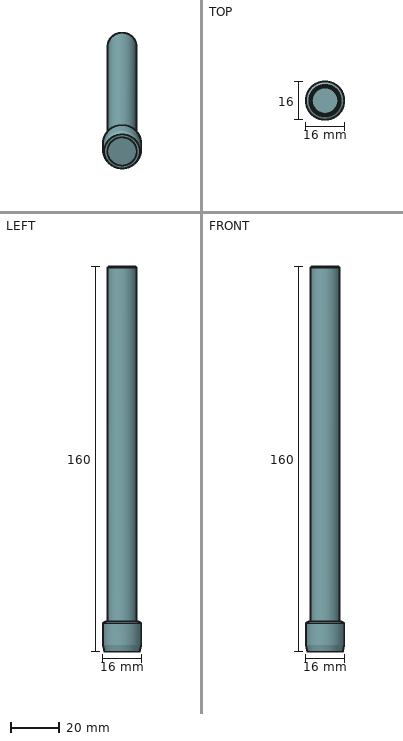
import cadquery as cq
import math

rod_length = 160.0
rod_diameter = 12.2
rod_chamfer = 0.6

collar_diameter = 16.0
collar_height = 12.8
collar_top_chamfer_height = 0.8
collar_top_chamfer_width = 1.5
collar_taper_height = 2.9
collar_taper_angle = 12.0

rod_radius = rod_diameter / 2
collar_radius = collar_diameter / 2
collar_taper_width = collar_taper_height * math.tan(math.radians(collar_taper_angle))


def make_rod():
    """Straight round rod with a chamfered upper end."""
    return (
        cq.Workplane("XY")
        .circle(rod_radius)
        .extrude(rod_length)
        .faces(">Z")
        .chamfer(rod_chamfer)
    )


def make_collar():
    """Ring bored to the rod diameter, chamfered on top and tapered at the bottom."""
    profile = [
        (rod_radius, 0),
        (collar_radius - collar_taper_width, 0),
        (collar_radius, collar_taper_height),
        (collar_radius, collar_height - collar_top_chamfer_height),
        (collar_radius - collar_top_chamfer_width, collar_height),
        (rod_radius, collar_height),
    ]
    return cq.Workplane("XZ").polyline(profile).close().revolve(360, (0, 0), (0, 1))


rod = make_rod()
collar = make_collar()

result = cq.Compound.makeCompound([rod.val(), collar.val()])